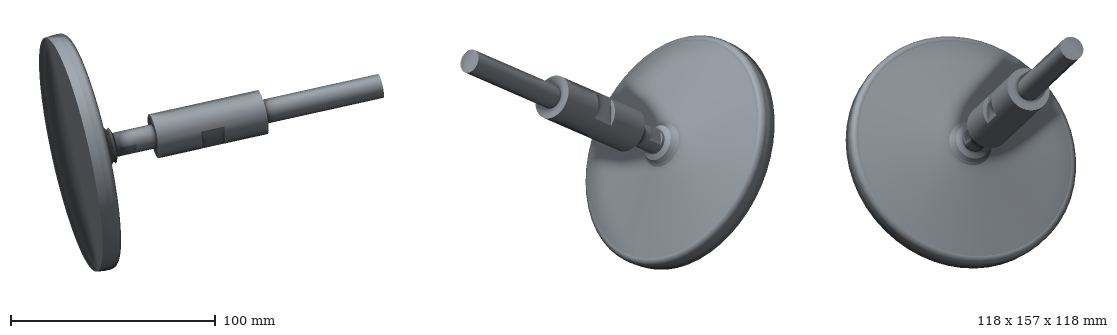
import cadquery as cq
import math

overall_length = 157.0

base_diameter = 118.0
underside_diameter = 117.1
rim_bottom = 4.1
rim_top = 7.2
shoulder_height = 9.9
shoulder_diameter = 111.5
cone_top = 17.3
cone_top_diameter = 22.3
neck_foot = 18.0
neck_foot_diameter = 19.8
neck_height = 20.0
neck_diameter = 15.7
lip_height = 20.9
lip_diameter = 17.9
lip_shoulder_height = 21.5
lip_shoulder_diameter = 15.0
collar_top = 22.1

stud_diameter = 12.0
stud_bottom = shoulder_height
stud_flats_start = 23.7
stud_flats_length = 8.2
stud_across_flats = 9.7

sleeve_diameter = 22.0
sleeve_start = 41.9
sleeve_length = 55.3
sleeve_across_flats = 17.0
sleeve_flats_length = 12.0
sleeve_flats_start = sleeve_start + (sleeve_length - sleeve_flats_length) / 2


def cylinder(diameter, start, length):
    """Round bar along +Y, from Y = start."""
    return cq.Workplane("XZ", origin=(0, start, 0)).circle(diameter / 2).extrude(-length)


def cut_flats(bar, diameter, across_flats, start, length):
    """Cut two opposite wrench flats, facing -X and +X, into a round bar."""
    depth = (diameter - across_flats) / 2
    for side in (-1, 1):
        cutter = cq.Workplane("XY").box(depth, length, diameter, centered=(True, False, True))
        bar = bar.cut(cutter.translate((side * (across_flats + depth) / 2, start, 0)))
    return bar


def make_base():
    """Turned base: tapered rim, rounded shoulder, shallow cone and lipped collar."""
    rim_radius = base_diameter / 2
    shoulder_radius = shoulder_diameter / 2
    bulge = math.sqrt(0.5)
    shoulder_middle = (
        shoulder_radius + bulge * (rim_radius - shoulder_radius),
        rim_top + bulge * (shoulder_height - rim_top),
    )
    body = (
        cq.Workplane("XY")
        .lineTo(underside_diameter / 2, 0)
        .lineTo(rim_radius, rim_bottom)
        .lineTo(rim_radius, rim_top)
        .threePointArc(shoulder_middle, (shoulder_radius, shoulder_height))
        .lineTo(cone_top_diameter / 2, cone_top)
        .lineTo(neck_foot_diameter / 2, neck_foot)
        .lineTo(neck_diameter / 2, neck_height)
        .lineTo(lip_diameter / 2, lip_height)
        .lineTo(lip_shoulder_diameter / 2, lip_shoulder_height)
        .lineTo(stud_diameter / 2, collar_top)
        .lineTo(0, collar_top)
        .close()
        .revolve(360, (0, 0, 0), (0, 1, 0))
    )
    socket = cylinder(stud_diameter, stud_bottom, collar_top - stud_bottom)
    return body.cut(socket)


def make_stud():
    """Straight stud seated in the base, with wrench flats just above the collar."""
    bar = cylinder(stud_diameter, stud_bottom, overall_length - stud_bottom)
    return cut_flats(bar, stud_diameter, stud_across_flats, stud_flats_start, stud_flats_length)


def make_sleeve():
    """Sleeve around the stud, with wrench flats at its middle."""
    bar = cylinder(sleeve_diameter, sleeve_start, sleeve_length)
    bar = cut_flats(bar, sleeve_diameter, sleeve_across_flats, sleeve_flats_start, sleeve_flats_length)
    return bar.cut(cylinder(stud_diameter, sleeve_start, sleeve_length))


base = make_base()
stud = make_stud()
sleeve = make_sleeve()

result = cq.Compound.makeCompound([base.val(), stud.val(), sleeve.val()])